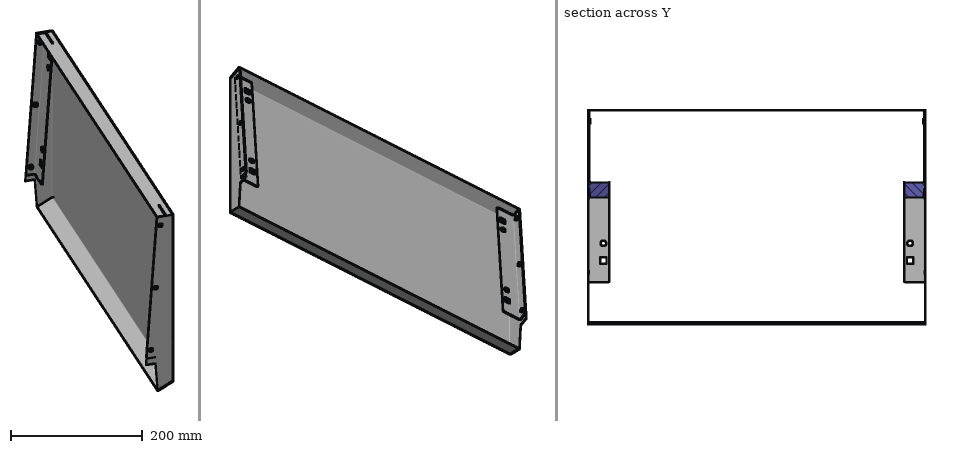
import cadquery as cq
import math

width = 512.0
height = 325.0
depth = 45.0
tray_sheet = 1.0
tray_bend_radius = 2.5
tilt_degrees = 3.8
lip_rise = 12.0
lip_depth = 26.0
tab_bottom = 53.0
tab_root_depth = 29.5

bracket_sheet = 1.5
bracket_bend_radius = 2.5
bracket_bottom = 64.5
leg_width = 15.5
web_width = 32.0
corner_radius = 3.0

leg_hole_count = 3
leg_hole_rise = 15.0
leg_hole_pitch = 114.5
leg_hole_inset = 6.5
leg_hole_diameter = 3.5
leg_hole_mouth = 6.5
leg_hole_entry = 0.5
collar_diameter = 6.5
collar_reach = 1.5

web_hole_x = 232.5
round_hole_diameter = 8.0
round_hole_heights = (123.0, 273.0)
square_hole_size = 9.0
square_hole_heights = (97.0, 295.5)

half_width = width / 2
tilt = math.radians(tilt_degrees)
lean = math.tan(tilt)
lip_slope = lip_rise / lip_depth


def front_edge_depth(z):
    """Distance from the panel's back to the tray's leaning front edge at height z."""
    return depth - (z - tab_bottom) * lean


top_depth = front_edge_depth(height)
top_back = height - top_depth * lean


def extrude_side_outline(outline, length):
    """Extrude an outline of (distance from the back, height) points, centred on X = 0."""
    points = [(-distance, z) for distance, z in outline]
    return cq.Workplane("YZ").polyline(points).close().extrude(length / 2, both=True)


def make_tray():
    shell = extrude_side_outline(
        [
            (0, lip_rise),
            (lip_depth, 0),
            (tab_root_depth, tab_bottom - (depth - tab_root_depth) * lean),
            (depth, tab_bottom),
            (top_depth, height),
            (0, top_back),
        ],
        width,
    )
    shell = shell.faces(">Y").edges().fillet(tray_bend_radius)

    lip_inside = lip_rise + tray_sheet * math.hypot(1, lip_slope)
    top_inside = top_back - tray_sheet / math.cos(tilt)
    beyond_front = 2 * depth
    cavity = extrude_side_outline(
        [
            (tray_sheet, lip_inside - tray_sheet * lip_slope),
            (beyond_front, lip_inside - beyond_front * lip_slope),
            (beyond_front, top_inside + beyond_front * lean),
            (tray_sheet, top_inside + tray_sheet * lean),
        ],
        width - 2 * tray_sheet,
    )
    cavity = cavity.faces(">Y").edges().fillet(tray_bend_radius - tray_sheet)
    return shell.cut(cavity)


bracket_length = (height - bracket_bottom) / math.cos(tilt) - tray_sheet


def make_angle_strip():
    leg = cq.Workplane("XY").box(bracket_sheet, leg_width, bracket_length, centered=False)
    leg = leg.edges("|X and <Y").fillet(corner_radius)
    web = cq.Workplane("XY").box(web_width, bracket_sheet, bracket_length, centered=False)
    web = web.translate((0, leg_width - bracket_sheet, 0))
    web = web.edges("|Y and >X").fillet(corner_radius)

    middle = bracket_length / 2
    outer_corner = cq.selectors.NearestToPointSelector((0, leg_width, middle))
    inner_corner = cq.selectors.NearestToPointSelector(
        (bracket_sheet, leg_width - bracket_sheet, middle)
    )
    strip = leg.union(web)
    strip = strip.edges(outer_corner).fillet(bracket_bend_radius)
    return strip.edges(inner_corner).fillet(bracket_bend_radius - bracket_sheet)


def add_flanged_holes(strip):
    collar_end = bracket_sheet + collar_reach
    for i in range(leg_hole_count):
        center = cq.Vector(0, leg_hole_inset, leg_hole_rise + i * leg_hole_pitch)
        along_x = cq.Vector(1, 0, 0)
        collar = cq.Solid.makeCylinder(collar_diameter / 2, collar_end, center, along_x)
        bore = cq.Solid.makeCylinder(leg_hole_diameter / 2, collar_end, center, along_x)
        entry = cq.Solid.makeCone(
            leg_hole_mouth / 2, leg_hole_diameter / 2, leg_hole_entry, center, along_x
        )
        strip = strip.union(cq.Workplane(collar)).cut(cq.Workplane(bore)).cut(cq.Workplane(entry))
    return strip


def cut_web_holes(bracket):
    round_holes = (
        cq.Workplane("XZ")
        .pushPoints([(-web_hole_x, z) for z in round_hole_heights])
        .circle(round_hole_diameter / 2)
        .extrude(depth)
    )
    square_holes = (
        cq.Workplane("XZ")
        .pushPoints([(-web_hole_x, z) for z in square_hole_heights])
        .rect(square_hole_size, square_hole_size)
        .extrude(depth)
    )
    return bracket.cut(round_holes).cut(square_holes)


def make_left_bracket():
    lower_corner = cq.Plane(
        origin=(tray_sheet - half_width, -front_edge_depth(bracket_bottom), bracket_bottom),
        xDir=(1, 0, 0),
        normal=(0, math.sin(tilt), math.cos(tilt)),
    )
    strip = add_flanged_holes(make_angle_strip())
    leaning = cq.Workplane(strip.val().moved(cq.Location(lower_corner)))
    return cut_web_holes(leaning)


def make_bracket(side):
    """Make the bracket on the given side: -1 for left, +1 for right."""
    left = make_left_bracket()
    return left if side < 0 else left.mirror("YZ")


tray = make_tray()
brackets = [make_bracket(side) for side in (-1, 1)]
result = cq.Compound.makeCompound(
    [tray.solids().val()] + [bracket.solids().val() for bracket in brackets]
)